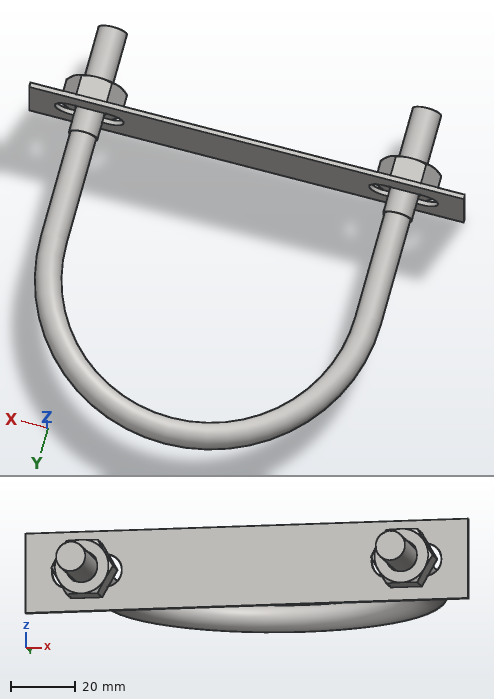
import cadquery as cq
import math

plate_length = 140.0
plate_height = 25.0
plate_thickness = 1.5
slot_length = 22.1
slot_width = 10.4

leg_spacing = 101.2
rod_diameter = 8.4
thread_diameter = 9.2
overall_depth = 125.2
thread_end_y = -26.5
thread_length = 35.3
thread_start_y = thread_end_y + thread_length
bend_radius = leg_spacing / 2
bend_center_y = thread_end_y + overall_depth - rod_diameter / 2 - bend_radius

nut_across_flats = 17.0
nut_across_corners = nut_across_flats / math.cos(math.radians(30))
nut_height = 8.3
nut_bore_diameter = 10.0
nut_chamfer_angle = 30.0

leg_positions = [-leg_spacing / 2, leg_spacing / 2]


def cylinder_along_y(x, start_y, length, diameter):
    """Round bar at the given X, running from start_y toward +Y."""
    plane = cq.Plane(origin=(x, start_y, 0), xDir=(1, 0, 0), normal=(0, 1, 0))
    return cq.Workplane(plane).circle(diameter / 2).extrude(length)


def make_plate():
    """Flat plate with one horizontal slot around each leg."""
    blank = cq.Workplane("XZ").rect(plate_length, plate_height).extrude(-plate_thickness)
    slots = (
        cq.Workplane("XZ")
        .pushPoints([(x, 0) for x in leg_positions])
        .slot2D(slot_length, slot_width)
        .extrude(-plate_thickness)
    )
    return blank.cut(slots)


def make_u_bolt():
    """Bent round rod with a thicker threaded length on both legs."""
    left_x, right_x = leg_positions
    path = (
        cq.Workplane("XY")
        .moveTo(left_x, thread_start_y)
        .lineTo(left_x, bend_center_y)
        .threePointArc((0, bend_center_y + bend_radius), (right_x, bend_center_y))
        .lineTo(right_x, thread_start_y)
    )
    rod_plane = cq.Plane(origin=(left_x, thread_start_y, 0), xDir=(1, 0, 0), normal=(0, 1, 0))
    bolt = cq.Workplane(rod_plane).circle(rod_diameter / 2).sweep(path)
    for x in leg_positions:
        bolt = bolt.union(cylinder_along_y(x, thread_end_y, thread_length, thread_diameter))
    return bolt


def make_nut(x):
    """Hex nut seated on the plate, its outer corners turned to a cone."""
    plane = cq.Plane(origin=(x, 0, 0), xDir=(1, 0, 0), normal=(0, -1, 0))
    hexagon = cq.Workplane(plane).polygon(6, nut_across_corners).extrude(nut_height)
    face_radius = nut_across_flats / 2
    corner_radius = nut_across_corners / 2
    chamfer_depth = (corner_radius - face_radius) * math.tan(math.radians(nut_chamfer_angle))
    turned_envelope = (
        cq.Workplane("XY")
        .moveTo(0, 0)
        .lineTo(corner_radius, 0)
        .lineTo(corner_radius, chamfer_depth - nut_height)
        .lineTo(face_radius, -nut_height)
        .lineTo(0, -nut_height)
        .close()
        .revolve(360, (0, 0, 0), (0, 1, 0))
        .translate((x, 0, 0))
    )
    bore = cylinder_along_y(x, -nut_height, nut_height, nut_bore_diameter)
    return hexagon.intersect(turned_envelope).cut(bore)


plate = make_plate()
u_bolt = make_u_bolt()
nuts = [make_nut(x) for x in leg_positions]

result = cq.Compound.makeCompound([plate.val(), u_bolt.val(), *[nut.val() for nut in nuts]])